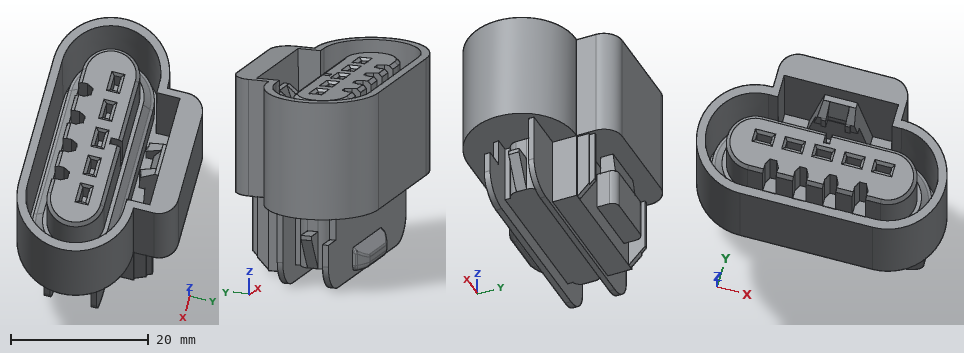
import cadquery as cq
import math

top_z = 29.3
shroud_bottom_z = 11.7
floor_z = 13.5
core_top_z = 28.35
seal_top_z = 19.5
overlap = 0.5

end_spacing = 20.0
shroud_radius = 8.58
cavity_radius = 7.28
cavity_draft = 0.1
latch_house_width = 19.36
latch_house_back_y = 14.55
latch_house_corner = 2.9
latch_pocket_width = 17.2
latch_pocket_back_y = 10.75

core_radius = 4.23
core_chamfer = 0.53
seal_flat_radius = 4.85
seal_cone_radius = 5.87
seal_outer_radius = 6.34
seal_cone_height = 1.12
seal_rim_height = 0.3

socket_count = 5
socket_pitch = 4.5
socket_y = 1.0
socket_mouth = (3.06, 1.96)
socket_bore = (2.26, 1.0)
socket_lead_in = 0.4
socket_depth = 4.0

groove_bottom_z = 20.5
groove_width = 2.0
groove_tip_width = 1.0
groove_tip_y = -1.97
groove_shoulder_y = -2.93
key_groove_width = 0.9
key_groove_y = 2.57

catch_top_z = 25.7
catch_base_width = 9.52
catch_top_width = 4.9
catch_body_y = 8.6
catch_crest_y = 9.86
catch_nose_y = 7.74
catch_nose_top_z = 23.9
catch_nose_bottom_z = 21.2
catch_tip_y = 7.5
catch_tip_top_z = 23.7
catch_tip_width = 4.4
catch_channel_width = 2.94
catch_channel_y = 8.7
catch_channel_z = 22.5

plate_width = 32.5
plate_corner = 4.1
front_plate_y = (-3.16, -2.23)
back_plate_y = (3.9, 4.77)
plate_notch_front_x = 13.1
plate_notch_back_x = 13.25
plate_notch_z = 7.4

body_bottom_z = 2.44
body_width = 24.0
body_depth = 4.64
body_corner = 1.48
body_y = (front_plate_y[1] + back_plate_y[0]) / 2
web_width = 22.0
end_hook_x = 14.7
end_hook_width = 1.65
end_hook_top_z = 8.05

block_bottom_z = 0.75
block_back_y = 8.6
rib_back_y = 11.23
rib_chamfer_top_z = 3.4
rib_outer_width = 18.8
rib_lip_y = 10.4
rib_lip_width = 18.2
rib_inner_width = 17.2
pad_width = 9.52
lever_width = 7.0
lever_front_y = 9.6
lever_root_y = 11.6
lever_tip_y = 12.07
pad_back_y = 12.67
pad_edge_radius = 1.1
pad_bottom_z = 1.7
pad_top_z = 7.7

bump_width = 12.6
bump_shoulder_width = 12.0
bump_shoulder_y = -3.7
bump_crest_width = 6.8
bump_crest_y = -4.86
bump_top_z = 4.4
bump_crest_top_z = 2.7
bump_bottom_z = 0.74
bump_bow = 0.15
bump_lower_round = 1.0
bump_end_round = 0.4
bump_upper_round = 0.5


def box(width, y_range, z_range):
    """Box centred on X = 0 between the given Y and Z limits."""
    depth = y_range[1] - y_range[0]
    height = z_range[1] - z_range[0]
    block = cq.Workplane("XY").box(width, depth, height, centered=(True, False, False))
    return block.translate((0, y_range[0], z_range[0]))


def obround(radius, bottom_z, height, taper=0):
    """Upright prism with two rounded ends at the common end spacing."""
    length = end_spacing + 2 * radius
    base = cq.Workplane("XY").workplane(offset=bottom_z)
    return base.slot2D(length, 2 * radius).extrude(height, taper=taper)


def side_profile(points, width):
    """Prism centred on X = 0 from a (Y, Z) outline."""
    return cq.Workplane("YZ").polyline(points).close().extrude(width / 2, both=True)


def make_shroud():
    height = top_z - shroud_bottom_z
    house = box(latch_house_width, (0, latch_house_back_y), (shroud_bottom_z, top_z))
    house = house.edges("|Z and >Y").fillet(latch_house_corner)
    return obround(shroud_radius, shroud_bottom_z, height).union(house)


def make_cavity():
    """Drafted cavity with rounded ends, opening into the latch pocket at the back."""
    depth = top_z - floor_z
    half_spacing = end_spacing / 2
    half_pocket = latch_pocket_width / 2
    draft_angle = math.degrees(math.atan(cavity_draft / depth))
    return (
        cq.Workplane("XY")
        .workplane(offset=top_z)
        .moveTo(-half_spacing, -cavity_radius)
        .lineTo(half_spacing, -cavity_radius)
        .threePointArc((half_spacing + cavity_radius, 0), (half_spacing, cavity_radius))
        .lineTo(half_pocket, cavity_radius)
        .lineTo(half_pocket, latch_pocket_back_y)
        .lineTo(-half_pocket, latch_pocket_back_y)
        .lineTo(-half_pocket, cavity_radius)
        .lineTo(-half_spacing, cavity_radius)
        .threePointArc((-half_spacing - cavity_radius, 0), (-half_spacing, -cavity_radius))
        .close()
        .extrude(-depth, taper=draft_angle)
    )


def make_seal():
    """Seal around the core: upright side, shallow rim, steeper cone and flat top."""
    cone_bottom_z = seal_top_z - seal_cone_height
    rim_bottom_z = cone_bottom_z - seal_rim_height
    base_z = floor_z - overlap
    base = obround(seal_outer_radius, base_z, rim_bottom_z - base_z)
    rim_angle = math.degrees(math.atan((seal_outer_radius - seal_cone_radius) / seal_rim_height))
    rim = obround(seal_outer_radius, rim_bottom_z, seal_rim_height, rim_angle)
    cone_angle = math.degrees(math.atan((seal_cone_radius - seal_flat_radius) / seal_cone_height))
    cone = obround(seal_cone_radius, cone_bottom_z, seal_cone_height, cone_angle)
    return base.union(rim).union(cone)


def make_socket(x):
    """Rectangular terminal bore with a sloping lead-in."""
    lead_in = (
        cq.Workplane("XY")
        .workplane(offset=core_top_z)
        .center(x, socket_y)
        .rect(*socket_mouth)
        .workplane(offset=-socket_lead_in)
        .rect(*socket_bore)
        .loft(ruled=True)
    )
    bore = cq.Workplane("XY").workplane(offset=core_top_z - socket_depth)
    bore = bore.center(x, socket_y).rect(*socket_bore).extrude(socket_depth)
    return lead_in.union(bore)


def make_groove(x):
    """Upright groove in the front of the core, narrowing towards its inner end."""
    outer_y = -core_radius - overlap
    return (
        cq.Workplane("XY")
        .workplane(offset=groove_bottom_z)
        .moveTo(x - groove_width / 2, outer_y)
        .lineTo(x + groove_width / 2, outer_y)
        .lineTo(x + groove_width / 2, groove_shoulder_y)
        .lineTo(x + groove_tip_width / 2, groove_tip_y)
        .lineTo(x - groove_tip_width / 2, groove_tip_y)
        .lineTo(x - groove_width / 2, groove_shoulder_y)
        .close()
        .extrude(core_top_z - groove_bottom_z)
    )


def make_core():
    base_z = floor_z - overlap
    core = obround(core_radius, base_z, core_top_z - base_z).faces(">Z").chamfer(core_chamfer)
    first_socket_x = -socket_pitch * (socket_count - 1) / 2
    for index in range(socket_count):
        core = core.cut(make_socket(first_socket_x + index * socket_pitch))
    first_groove_x = first_socket_x + socket_pitch / 2
    for index in range(socket_count - 1):
        core = core.cut(make_groove(first_groove_x + index * socket_pitch))
    key_groove = box(key_groove_width, (key_groove_y, core_radius + overlap), (groove_bottom_z, core_top_z))
    return core.cut(key_groove)


def make_catch():
    """Catch tower on the pocket wall, with a ramped nose split by a channel."""
    root_y = latch_pocket_back_y + overlap
    tower = side_profile(
        [
            (root_y, floor_z),
            (root_y, catch_top_z),
            (catch_crest_y, catch_top_z),
            (catch_nose_y, catch_nose_top_z),
            (catch_nose_y, catch_nose_bottom_z),
            (catch_body_y, catch_nose_bottom_z),
            (catch_body_y, floor_z),
        ],
        catch_base_width,
    )
    tip = side_profile(
        [
            (catch_body_y, catch_nose_bottom_z),
            (catch_tip_y, catch_nose_bottom_z),
            (catch_tip_y, catch_tip_top_z),
            (catch_nose_y, catch_nose_top_z),
            (catch_body_y, catch_nose_top_z),
        ],
        catch_tip_width,
    )
    flanks = (
        cq.Workplane("XZ")
        .polyline(
            [
                (-catch_base_width / 2, floor_z),
                (catch_base_width / 2, floor_z),
                (catch_top_width / 2, catch_top_z),
                (-catch_top_width / 2, catch_top_z),
            ]
        )
        .close()
        .extrude(-root_y)
    )
    channel = side_profile(
        [
            (catch_crest_y, catch_top_z),
            (catch_channel_y, catch_channel_z),
            (catch_channel_y, catch_nose_bottom_z),
            (catch_tip_y, catch_nose_bottom_z),
            (catch_tip_y, catch_top_z),
        ],
        catch_channel_width,
    )
    return tower.intersect(flanks).union(tip).cut(channel)


def make_plate(y_range):
    plate = box(plate_width, y_range, (0, shroud_bottom_z + overlap))
    return plate.edges("|Y and <Z").fillet(plate_corner)


def make_front_plate():
    plate = make_plate(front_plate_y)
    height = shroud_bottom_z - plate_notch_z
    outer_x = plate_width / 2
    for side in (-1, 1):
        notch = (
            cq.Workplane("XY")
            .workplane(offset=plate_notch_z)
            .moveTo(side * outer_x, front_plate_y[0])
            .lineTo(side * plate_notch_front_x, front_plate_y[0])
            .lineTo(side * plate_notch_back_x, front_plate_y[1])
            .lineTo(side * outer_x, front_plate_y[1])
            .close()
            .extrude(height)
        )
        plate = plate.cut(notch)
    return plate


def make_end_hook(side):
    """Hook on one end of the body, flat on top and tapering away downwards."""
    end_x = body_width / 2
    inner_x = end_x - overlap
    return (
        cq.Workplane("XZ", origin=(0, body_y + end_hook_width / 2, 0))
        .polyline(
            [
                (side * inner_x, body_bottom_z),
                (side * end_x, body_bottom_z),
                (side * end_hook_x, plate_notch_z),
                (side * end_hook_x, end_hook_top_z),
                (side * inner_x, end_hook_top_z),
            ]
        )
        .close()
        .extrude(end_hook_width)
    )


def make_body():
    """Body with rounded corners, tied to both plates by a web and hooked at each end."""
    z_range = (body_bottom_z, shroud_bottom_z + overlap)
    body = box(body_width, (body_y - body_depth / 2, body_y + body_depth / 2), z_range)
    body = body.edges("|Z").fillet(body_corner)
    web = box(web_width, (front_plate_y[0], back_plate_y[1]), z_range)
    body = body.union(web)
    for side in (-1, 1):
        body = body.union(make_end_hook(side))
    return body


def make_rear():
    """Block behind the back plate, the ribs at its sides and the lever between them."""
    joint_z = shroud_bottom_z + overlap
    rear = box(latch_house_width, (back_plate_y[0], block_back_y), (block_bottom_z, joint_z))
    rib_outline = [
        (block_back_y - overlap, block_bottom_z),
        (block_back_y, block_bottom_z),
        (rib_back_y, rib_chamfer_top_z),
        (rib_back_y, joint_z),
        (block_back_y - overlap, joint_z),
    ]
    ribs = side_profile(rib_outline, rib_outer_width)
    rib_lip = box(rib_lip_width, (rib_lip_y, rib_back_y), (block_bottom_z, joint_z))
    rib_web = box(rib_outer_width, (block_back_y - overlap, rib_lip_y), (block_bottom_z, joint_z))
    ribs = ribs.intersect(rib_web.union(rib_lip))
    rib_gap = box(rib_inner_width, (block_back_y, rib_back_y), (block_bottom_z, joint_z))
    lever_outline = [
        (lever_front_y, pad_bottom_z),
        (lever_tip_y, pad_bottom_z),
        (lever_tip_y, pad_top_z),
        (lever_root_y, shroud_bottom_z),
        (lever_root_y, joint_z),
        (lever_front_y, joint_z),
    ]
    lever = side_profile(lever_outline, lever_width)
    pad = box(pad_width, (lever_front_y, pad_back_y), (pad_bottom_z, pad_top_z))
    pad = pad.edges("|Z and >Y").fillet(pad_edge_radius)
    return rear.union(ribs.cut(rib_gap)).union(lever).union(pad)


def make_bump():
    """Locking bump: a ramp trimmed to a bowed plan, with rounded edges."""
    root_y = front_plate_y[1]
    face_y = front_plate_y[0]
    half_width = bump_width / 2
    half_shoulder = bump_shoulder_width / 2
    half_crest = bump_crest_width / 2
    bow_x = (half_shoulder + half_crest) / 2
    bow_y = (bump_shoulder_y + bump_crest_y) / 2 - bump_bow
    ramp_slope = (bump_top_z - bump_crest_top_z) / (face_y - bump_crest_y)
    root_top_z = bump_top_z + ramp_slope * (root_y - face_y)
    plan = (
        cq.Workplane("XY")
        .workplane(offset=bump_bottom_z)
        .moveTo(-half_width, root_y)
        .lineTo(-half_shoulder, bump_shoulder_y)
        .threePointArc((-bow_x, bow_y), (-half_crest, bump_crest_y))
        .lineTo(half_crest, bump_crest_y)
        .threePointArc((bow_x, bow_y), (half_shoulder, bump_shoulder_y))
        .lineTo(half_width, root_y)
        .close()
        .extrude(root_top_z - bump_bottom_z)
    )
    ramp = side_profile(
        [
            (root_y, bump_bottom_z),
            (bump_crest_y, bump_bottom_z),
            (bump_crest_y, bump_crest_top_z),
            (root_y, root_top_z),
        ],
        bump_width,
    )
    bump = plan.edges("|Z and (not >Y)").fillet(bump_end_round)
    bump = bump.faces("<Z").edges("not >Y").fillet(bump_lower_round).intersect(ramp)
    return bump.faces(">Z").edges("not >Y").fillet(bump_upper_round)


result = make_shroud().cut(make_cavity())
features = [
    make_seal(),
    make_core(),
    make_catch(),
    make_front_plate(),
    make_plate(back_plate_y),
    make_body(),
    make_rear(),
    make_bump(),
]
for feature in features:
    result = result.union(feature)